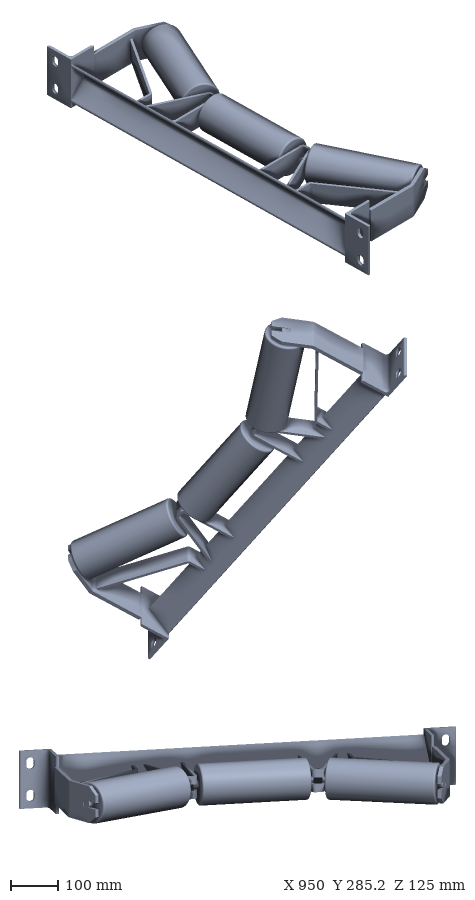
import cadquery as cq
import math

total_length = 950.0

angle_leg = 70.0
angle_thickness = 7.0
angle_root_radius = 9.0
angle_toe_radius = 5.0

foot_width = 125.0
slot_width = 17.0
slot_length = 26.0
slot_from_tip = 24.0
slot_spacing = 70.0
foot_face = total_length / 2 - angle_leg
beam_height = (angle_leg + angle_thickness - 2 * angle_toe_radius) / math.sqrt(2) + angle_toe_radius

roller_diameter = 89.0
roller_length = 237.5
roller_edge_radius = 4.0
shaft_diameter = 20.0
shaft_flat_width = 14.0
saddle_gap = 6.0
post_gap = 4.0
trough_angle = 25.0
middle_roller_y = 135.0
side_roller_x = 271.0
side_roller_y = 196.0

inner_plate = 6.0
inner_plate_width = 49.0
saddle_top_y = 161.0
saddle_corner_radius = 9.0
post_plate = 9.0
post_overhang = 3.0
post_width = 80.0
post_bend_radius = 9.0
post_tip_above_axis = 32.0
post_chamfer_along = 22.0
post_chamfer_across = 16.0
strut_x = 232.0
strut_bend_y = 69.0
strut_top_y = 186.0
strut_bend_radius = 3.0

post_face = foot_face + angle_thickness + post_overhang - post_plate
saddle_reach = roller_length / 2 + saddle_gap
post_reach = roller_length / 2 + post_gap
shaft_half = saddle_reach + inner_plate
trough_cos = math.cos(math.radians(trough_angle))
trough_sin = math.sin(math.radians(trough_angle))


def on_side_roller(along, above):
    """Point on the left side roller: 'along' its axis towards the middle, 'above' square to it."""
    x = -side_roller_x + along * trough_cos + above * trough_sin
    y = side_roller_y - along * trough_sin + above * trough_cos
    return (x, y)


def place_on_left_roller(body):
    """Move a body from the origin, axis along X, onto the axis of the left side roller."""
    return body.rotate((0, 0, 0), (0, 0, 1), -trough_angle).translate((-side_roller_x, side_roller_y, 0))


def place_on_middle_roller(body):
    return body.translate((0, middle_roller_y, 0))


def mirrored(body):
    return body.mirror("YZ")


def plate(outline, width):
    """Plate with the given XY outline, centred on Z = 0."""
    return cq.Workplane("XY", origin=(0, 0, -width / 2)).polyline(outline).close().extrude(width)


def rod(diameter, length):
    """Cylinder along X, centred on the origin."""
    return cq.Workplane("YZ", origin=(-length / 2, 0, 0)).circle(diameter / 2).extrude(length)


def round_corner(body, corner, radius):
    return body.edges(cq.selectors.NearestToPointSelector((*corner, 0))).fillet(radius)


def line_at_y(point, y):
    """Point at height y on the line through 'point' that runs square to the left roller axis."""
    return (point[0] + (y - point[1]) * trough_sin / trough_cos, y)


def line_at_x(point, x):
    """Point at position x on the line through 'point' that runs square to the left roller axis."""
    return (x, point[1] + (x - point[0]) * trough_cos / trough_sin)


def angle_bar(length):
    """Angle section with its heel at the origin and legs along +X and +Y, extruded along Z."""
    t = angle_thickness
    outline = [(0, 0), (angle_leg, 0), (angle_leg, t), (t, t), (t, angle_leg), (0, angle_leg)]
    bar = plate(outline, length)
    bar = round_corner(bar, (t, t), angle_root_radius)
    for toe in [(angle_leg, t), (t, angle_leg)]:
        bar = round_corner(bar, toe, angle_toe_radius)
    return bar


def make_beam():
    """Angle bar along X with its heel up, between the two feet."""
    bar = angle_bar(2 * foot_face)
    bar = bar.rotate((0, 0, 0), (0, 1, 0), 90).rotate((0, 0, 0), (1, 0, 0), 225)
    return bar.translate((0, beam_height, 0))


def make_left_foot():
    """Upright angle bar with two bolt slots in the leg that lies on the base."""
    foot = angle_bar(foot_width).rotate((0, 0, 0), (0, 0, 1), 90).translate((-foot_face, 0, 0))
    slots = (
        cq.Workplane("XZ")
        .pushPoints([(slot_from_tip - total_length / 2, side * slot_spacing / 2) for side in (-1, 1)])
        .slot2D(slot_length, slot_width, 90)
        .extrude(angle_thickness, both=True)
    )
    return foot.cut(slots)


def beam_envelope():
    """Solid under the two sloping faces of the beam, used to notch the plates that straddle it."""
    below = 2 * beam_height
    ridge = [(beam_height, 0), (beam_height - below, below), (beam_height - below, -below)]
    return cq.Workplane("YZ").polyline(ridge).close().extrude(foot_face, both=True)


def shaft_profile():
    """Shaft along X at the origin, with two flats over its full length."""
    bar = rod(shaft_diameter, 2 * shaft_half)
    return bar.intersect(cq.Workplane("XY").box(2 * shaft_half, shaft_diameter, shaft_flat_width))


def make_roller():
    """Roller at the origin along X, with its shaft ends flattened where they enter the brackets."""
    drum = rod(roller_diameter, roller_length)
    drum = drum.faces("<X or >X").edges().fillet(roller_edge_radius)
    neck = rod(shaft_diameter, 2 * post_reach)
    return drum.union(neck).union(shaft_profile())


def shaft_slots():
    """Cutter for the open slots at both ends of a roller, at the origin."""
    cutter = shaft_profile()
    slot_height = roller_diameter / 2
    for side in (-1, 1):
        opening = cq.Workplane("XY").box(2 * post_plate, slot_height, shaft_flat_width)
        opening = opening.translate((side * (post_reach + post_plate), slot_height / 2, 0))
        seat = shaft_profile().translate((side * post_plate, 0, 0))
        cutter = cutter.union(opening).union(seat)
    return cutter


def make_left_saddle():
    """Plate bent over in an inverted U that holds the inner shaft ends of two rollers."""
    upright_x = -saddle_reach
    slope_point = on_side_roller(saddle_reach, 0)
    top_corners = [line_at_y(slope_point, saddle_top_y), (upright_x, saddle_top_y)]
    outline = [line_at_y(slope_point, 0), *top_corners, (upright_x, 0)]
    saddle = plate(outline, inner_plate_width)
    for corner in top_corners:
        saddle = round_corner(saddle, corner, saddle_corner_radius)
    saddle = saddle.faces("|Z or <Y").shell(-inner_plate)
    saddle = saddle.cut(place_on_left_roller(shaft_slots())).cut(place_on_middle_roller(shaft_slots()))
    return saddle.cut(beam_envelope())


def post_corner_cuts():
    """Two wedges that chamfer the top corners of a post, relative to the side roller axis."""
    top = post_tip_above_axis
    half = post_width / 2
    wedge = (
        cq.Workplane("YZ")
        .polyline([(top, half), (top - post_chamfer_along, half), (top, half - post_chamfer_across)])
        .close()
        .extrude(-post_reach - 2 * post_plate)
    )
    return wedge.union(wedge.mirror("XY"))


def make_left_post():
    """Plate standing on the foot, its top leaning in square to the side roller."""
    outer_x = -post_face - post_plate
    outer_along = -post_reach - post_plate
    inner_tip = on_side_roller(-post_reach, post_tip_above_axis)
    outer_tip = on_side_roller(outer_along, post_tip_above_axis)
    inner_corner = line_at_x(inner_tip, -post_face)
    outer_corner = line_at_x(outer_tip, outer_x)
    outer_side = [(outer_x, angle_leg), outer_corner, outer_tip]
    inner_side = [inner_tip, inner_corner, (-post_face, angle_leg)]
    post = plate(outer_side + inner_side, post_width)
    post = round_corner(post, inner_corner, post_bend_radius)
    post = round_corner(post, outer_corner, post_bend_radius + post_plate)
    return post.cut(place_on_left_roller(post_corner_cuts())).cut(place_on_left_roller(shaft_slots()))


def make_left_strut():
    """Bent plate that rises from the beam and leans against the post."""
    bend = (-strut_x, strut_bend_y)
    slope = math.atan2(strut_top_y - strut_bend_y, post_face - strut_x)
    drop = inner_plate / math.cos(slope)
    lower_bend_x = bend[0] - inner_plate
    lower_bend_y = bend[1] + inner_plate * math.tan(slope) - drop
    outline = [
        (bend[0], 0),
        bend,
        (-post_face, strut_top_y),
        (-post_face, strut_top_y - drop),
        (lower_bend_x, lower_bend_y),
        (lower_bend_x, 0),
    ]
    strut = plate(outline, inner_plate_width)
    strut = round_corner(strut, (lower_bend_x, lower_bend_y), strut_bend_radius)
    strut = round_corner(strut, bend, strut_bend_radius + inner_plate)
    return strut.cut(beam_envelope())


def make_left_end_frame():
    """Foot, post and strut welded into one piece."""
    return make_left_foot().union(make_left_post()).union(make_left_strut())


beam = make_beam()
left_end_frame = make_left_end_frame()
left_saddle = make_left_saddle()
middle_roller = place_on_middle_roller(make_roller())
left_roller = place_on_left_roller(make_roller())

bodies = [beam, middle_roller]
for left_body in (left_end_frame, left_saddle, left_roller):
    bodies += [left_body, mirrored(left_body)]

result = cq.Compound.makeCompound([body.val() for body in bodies])